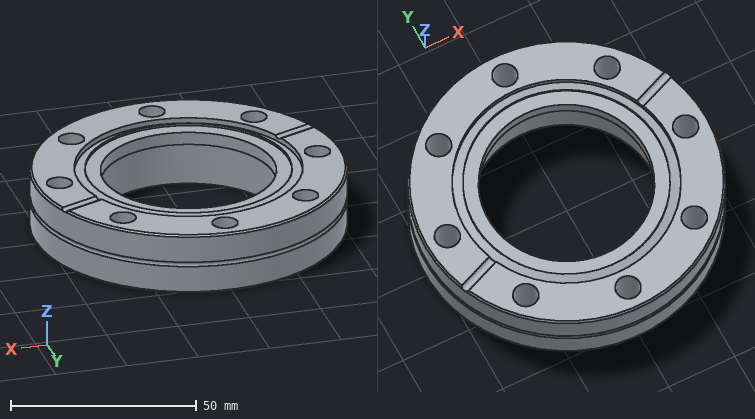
import cadquery as cq
import math

outer_radius = 42.85
height = 17.3
edge_chamfer = 0.5

rim_groove_width = 1.3
rim_groove_depth = 0.25

recess_radius = 30.85
recess_depth = 1.5
knife_radius = 27.9
knife_tip_depth = 0.3
floor_depth = 0.9

bore_radius = 23.7
socket_radius = 26.0
lip_depth = 4.5

bolt_count = 8
bolt_circle_radius = 36.2
bolt_hole_diameter = 6.9

leak_groove_width = 2.4
leak_groove_depth = 0.6
leak_groove_angle = 180 / bolt_count


def ring_body():
    """Revolve the half section, drawn with radius across and height up."""
    middle = height / 2
    floor_level = height - floor_depth
    lip_level = height - lip_depth
    section = (
        cq.Workplane("XZ")
        .moveTo(socket_radius, 0)
        .lineTo(outer_radius - edge_chamfer, 0)
        .lineTo(outer_radius, edge_chamfer)
        .lineTo(outer_radius, middle - rim_groove_width / 2)
        .threePointArc(
            (outer_radius - rim_groove_depth, middle),
            (outer_radius, middle + rim_groove_width / 2),
        )
        .lineTo(outer_radius, height - edge_chamfer)
        .lineTo(outer_radius - edge_chamfer, height)
        .lineTo(recess_radius, height)
        .lineTo(recess_radius, height - recess_depth)
        .lineTo(knife_radius, height - knife_tip_depth)
        .lineTo(knife_radius, floor_level)
        .lineTo(bore_radius, floor_level)
        .lineTo(bore_radius, lip_level)
        .lineTo(socket_radius, lip_level)
        .close()
    )
    return section.revolve(360, (0, 0), (0, 1))


def bolt_holes():
    return (
        cq.Workplane("XY")
        .polarArray(bolt_circle_radius, 0, 360, bolt_count)
        .circle(bolt_hole_diameter / 2)
        .extrude(height)
    )


def leak_groove(angle):
    """Round-bottomed cutter running outward from inside the recess."""
    half_width = leak_groove_width / 2
    radius = (half_width**2 + leak_groove_depth**2) / (2 * leak_groove_depth)
    start = math.sqrt(recess_radius**2 - radius**2)
    return (
        cq.Workplane("YZ", origin=(start, 0, 0))
        .center(0, height - leak_groove_depth + radius)
        .circle(radius)
        .extrude(outer_radius - start)
        .rotate((0, 0, 0), (0, 0, 1), angle)
    )


result = ring_body().cut(bolt_holes())
for side_angle in (0, 180):
    result = result.cut(leak_groove(leak_groove_angle + side_angle))